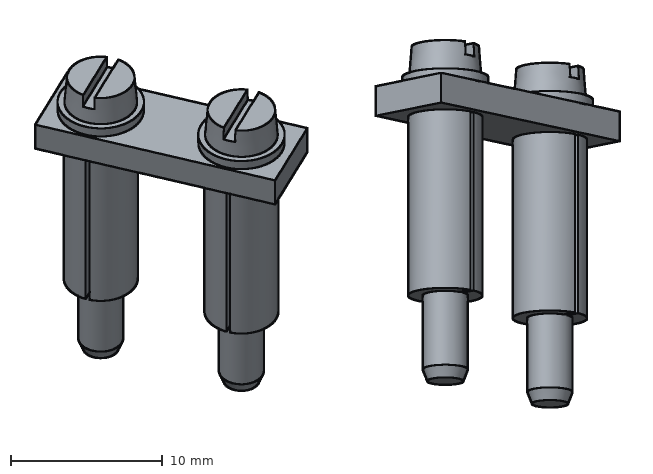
import cadquery as cq

PLATE_LENGTH = 16.9
PLATE_WIDTH = 6.0
PLATE_THICKNESS = 2.0

FIRST_SCREW_X = 3.49
SCREW_PITCH = 9.9
SCREW_POSITIONS = [FIRST_SCREW_X, FIRST_SCREW_X + SCREW_PITCH]

TOTAL_HEIGHT = 22.5
SHANK_DIAMETER = 3.0
TIP_DIAMETER = 2.38
TIP_LENGTH = 0.79
SHANK_PROTRUSION = 5.75
HEAD_BOTTOM_DIAMETER = 4.8
HEAD_TOP_DIAMETER = 4.45
DRIVER_SLOT_WIDTH = 0.8
DRIVER_SLOT_DEPTH = 0.9

SLEEVE_DIAMETER = 4.9
SLEEVE_LENGTH = 12.02
SLIT_WIDTH = 0.27
WASHER_DIAMETER = 5.7
WASHER_THICKNESS = 0.68

SLEEVE_BOTTOM_Z = SHANK_PROTRUSION
PLATE_BOTTOM_Z = SLEEVE_BOTTOM_Z + SLEEVE_LENGTH
PLATE_TOP_Z = PLATE_BOTTOM_Z + PLATE_THICKNESS
HEAD_BOTTOM_Z = PLATE_TOP_Z + WASHER_THICKNESS


def make_ring(x, bottom_z, diameter, height):
    """Round ring whose bore fits the screw shank."""
    return (
        cq.Workplane("XY", origin=(x, 0, bottom_z))
        .circle(diameter / 2)
        .circle(SHANK_DIAMETER / 2)
        .extrude(height)
    )


def make_plate():
    """Flat bar with a clearance-free hole for each screw."""
    hole_centers = [(x, 0) for x in SCREW_POSITIONS]
    bar = cq.Workplane("XY", origin=(0, 0, PLATE_BOTTOM_Z)).box(
        PLATE_LENGTH, PLATE_WIDTH, PLATE_THICKNESS, centered=(False, True, False)
    )
    holes = (
        cq.Workplane("XY", origin=(0, 0, PLATE_BOTTOM_Z))
        .pushPoints(hole_centers)
        .circle(SHANK_DIAMETER / 2)
        .extrude(PLATE_THICKNESS)
    )
    return bar.cut(holes)


def make_washer(x):
    """Plain washer between the screw head and the plate."""
    return make_ring(x, PLATE_TOP_Z, WASHER_DIAMETER, WASHER_THICKNESS)


def make_sleeve(x):
    """Spacer tube slit through its wall on the -Y side."""
    tube = make_ring(x, SLEEVE_BOTTOM_Z, SLEEVE_DIAMETER, SLEEVE_LENGTH)
    slit = cq.Workplane("XY", origin=(x, -SLEEVE_DIAMETER / 2, SLEEVE_BOTTOM_Z)).box(
        SLIT_WIDTH, SLEEVE_DIAMETER / 2, SLEEVE_LENGTH, centered=(True, False, False)
    )
    return tube.cut(slit)


def make_screw(x):
    """Screw revolved about its own axis, with a driver slot along Y."""
    half_profile = [
        (0, 0),
        (TIP_DIAMETER / 2, 0),
        (SHANK_DIAMETER / 2, TIP_LENGTH),
        (SHANK_DIAMETER / 2, HEAD_BOTTOM_Z),
        (HEAD_BOTTOM_DIAMETER / 2, HEAD_BOTTOM_Z),
        (HEAD_TOP_DIAMETER / 2, TOTAL_HEIGHT),
        (0, TOTAL_HEIGHT),
    ]
    body = (
        cq.Workplane("XZ", origin=(x, 0, 0))
        .polyline(half_profile)
        .close()
        .revolve(360, (0, 0, 0), (0, 1, 0))
    )
    driver_slot = cq.Workplane("XY", origin=(x, 0, TOTAL_HEIGHT - DRIVER_SLOT_DEPTH)).box(
        DRIVER_SLOT_WIDTH, HEAD_BOTTOM_DIAMETER, DRIVER_SLOT_DEPTH, centered=(True, True, False)
    )
    return body.cut(driver_slot)


plate = make_plate()
washers = [make_washer(x).val() for x in SCREW_POSITIONS]
sleeves = [make_sleeve(x).val() for x in SCREW_POSITIONS]
screws = [make_screw(x).val() for x in SCREW_POSITIONS]

result = cq.Compound.makeCompound([plate.val(), *washers, *sleeves, *screws])